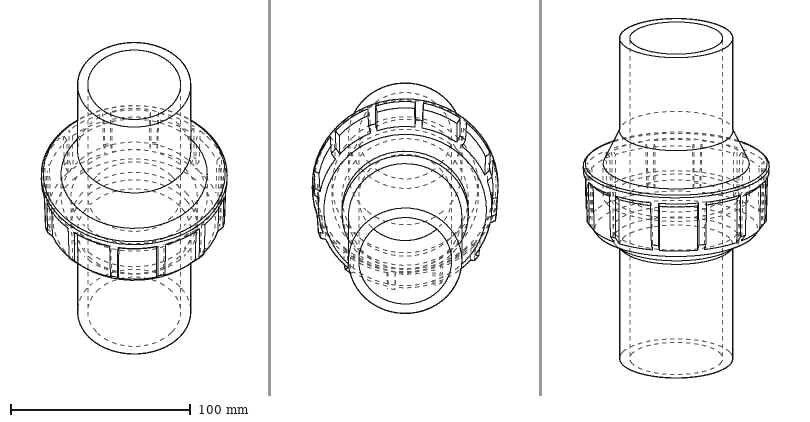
import cadquery as cq

total_height = 190.0
pipe_radius = 31.5
bore_radius = 25.8

nut_bottom = 77.1
nut_top = 115.5
joint_height = (nut_bottom + nut_top) / 2
collar_bottom = 67.5
collar_chamfer_top = 70.9
cone_top = 134.9
collar_radius = 35.2
cone_base_radius = 40.7

nut_diameter = 103.5
nut_radius = nut_diameter / 2
nut_top_chamfer = 1.1
nut_bevel_top = 85.5
nut_bevel_radius = 51.1
nut_bottom_radius = 45.2

rib_count = 12
pocket_top = 110.8
pocket_top_slope = 2.8
floor_top_radius = nut_radius - pocket_top_slope
floor_bottom_radius = 48.3
rib_top_width = 4.8
rib_bottom_width = 3.8
cut_clearance = 1.9
cutter_radius = nut_radius + cut_clearance


def revolve_profile(points):
    """Turn a closed (radius, height) outline about the Z axis."""
    return cq.Workplane("XZ").polyline(points).close().revolve(360, (0, 0, 0), (0, 1, 0))


def make_lower_end():
    """Pipe with a bevelled collar that runs up into the nut."""
    return revolve_profile([
        (bore_radius, 0),
        (pipe_radius, 0),
        (pipe_radius, collar_bottom),
        (collar_radius, collar_chamfer_top),
        (collar_radius, joint_height),
        (bore_radius, joint_height),
    ])


def make_upper_end():
    """Pipe with a conical shoulder whose cylindrical foot sits in the nut."""
    return revolve_profile([
        (bore_radius, joint_height),
        (cone_base_radius, joint_height),
        (cone_base_radius, nut_top),
        (pipe_radius, cone_top),
        (pipe_radius, total_height),
        (bore_radius, total_height),
    ])


def make_nut_blank():
    """Nut without pockets, its stepped bore fitting both pipe ends."""
    return revolve_profile([
        (collar_radius, nut_bottom),
        (nut_bottom_radius, nut_bottom),
        (nut_bevel_radius, nut_bevel_top),
        (nut_radius, nut_top - nut_top_chamfer),
        (nut_radius - nut_top_chamfer, nut_top),
        (cone_base_radius, nut_top),
        (cone_base_radius, joint_height),
        (collar_radius, joint_height),
    ])


def make_rib(angle):
    """Radial bar, narrower at the bottom, that divides two pockets."""
    return (
        cq.Workplane("YZ")
        .polyline([
            (-rib_bottom_width / 2, nut_bottom),
            (rib_bottom_width / 2, nut_bottom),
            (rib_top_width / 2, nut_top),
            (-rib_top_width / 2, nut_top),
        ])
        .close()
        .extrude(cutter_radius + cut_clearance)
        .rotate((0, 0, 0), (0, 0, 1), angle)
    )


def make_pocket_cutter():
    """Ring with a sloping top and tapered floor, interrupted by the ribs."""
    bevel_fraction = (floor_bottom_radius - nut_bottom_radius) / (nut_bevel_radius - nut_bottom_radius)
    floor_bottom = nut_bottom + bevel_fraction * (nut_bevel_top - nut_bottom)
    cutter = revolve_profile([
        (floor_bottom_radius, floor_bottom),
        (cutter_radius, floor_bottom),
        (cutter_radius, pocket_top + cut_clearance),
        (floor_top_radius, pocket_top - pocket_top_slope),
    ])
    for index in range(rib_count):
        cutter = cutter.cut(make_rib(index * 360 / rib_count))
    return cutter


lower_end = make_lower_end()
upper_end = make_upper_end()
nut = make_nut_blank().cut(make_pocket_cutter())

result = cq.Compound.makeCompound([lower_end.val(), upper_end.val(), nut.val()])